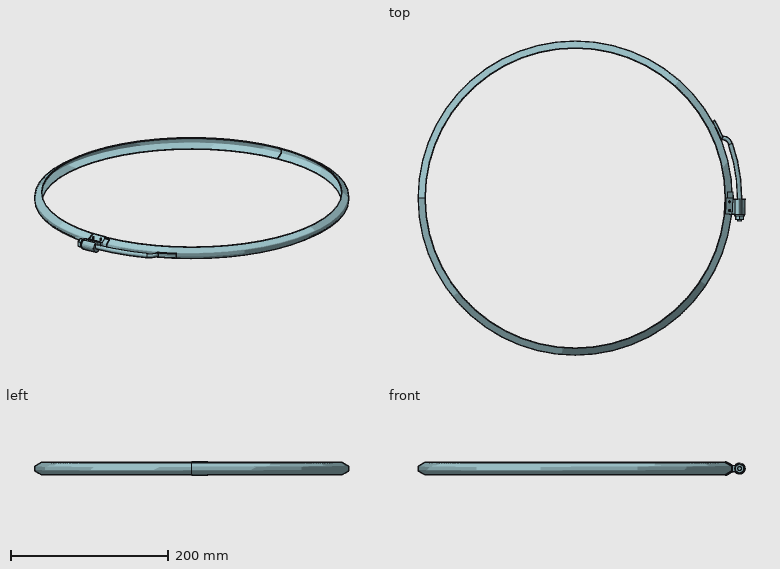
import cadquery as cq
import math


band_radius = 200.0
flange_lip_radius = 191.5
web_half_height = 3.0
band_half_height = 8.15
band_thickness = 1.3
band_inner_bend = 0.5
band_outer_bend = band_inner_bend + band_thickness
flange_run = band_radius - flange_lip_radius
flange_rise = band_half_height - web_half_height
flange_angle = math.atan2(flange_rise, flange_run)

saddle_thickness = 1.13
saddle_lip_radius = 192.3
tongue_lip_radius = 194.0
saddle_length = 21.0
tongue_length = 8.0
saddle_sweep = math.degrees(saddle_length / band_radius)
tongue_sweep = math.degrees(tongue_length / band_radius)

weld_hole_diameter = 2.0
weld_hole_x = 196.5
weld_hole_places = (-4.5, -16.0)

bolt_radius = 209.5
barrel_diameter = 14.0
barrel_start = -1.3
neck_half_height = 4.0
slot_width = 2.5
slot_x = 211.0
stop_tab_reach = 217.0
stop_tab_size = 1.0

rod_diameter = 6.0
thread_diameter = 5.0
bolt_end = -29.0
bolt_sweep = 19.2
tab_start_angle = 22.3
tab_end_angle = 29.2
tab_thickness = 3.5
tab_radius = band_radius + tab_thickness / 2
tab_half_height = 2.5

nut_flange_diameter = 12.5
nut_flange_thickness = 1.5
nut_length = 6.5
nut_across_corners = 11.5

big = 834.0


def web_change(thickness):
    """Change of the web half height between the two sides of a sheet of this thickness."""
    return thickness * (1 / math.cos(flange_angle) - math.tan(flange_angle))


def ring_core(radius):
    """Solid cylinder about the ring axis, taller than the clamp."""
    return cq.Workplane("XY").circle(radius).extrude(big, both=True)


def channel(outer_radius, outer_web_half, lip_radius, thickness, inner_bend, sweep):
    """V channel about Z that starts at +X and turns through `sweep` degrees toward +Y."""
    slope = math.tan(flange_angle)
    inner_radius = outer_radius - thickness
    inner_web_half = outer_web_half - web_change(thickness)
    lip_z = outer_web_half + (outer_radius - lip_radius) * slope
    inner_lip_radius = lip_radius - thickness * math.sin(flange_angle)
    inner_lip_z = lip_z - thickness * math.cos(flange_angle)
    outline = [
        (outer_radius, outer_web_half),
        (lip_radius, lip_z),
        (inner_lip_radius, inner_lip_z),
        (inner_radius, inner_web_half),
    ]
    mirrored = [(r, -z) for r, z in reversed(outline)]
    bends = (
        (outer_radius, outer_web_half, inner_bend + thickness),
        (inner_radius, inner_web_half, inner_bend),
    )
    profile = cq.Sketch().polygon(outline + mirrored + outline[:1])
    for corner_radius, corner_z, bend in bends:
        for z in (corner_z, -corner_z):
            profile = (
                profile.reset().vertices(cq.NearestToPointSelector((corner_radius, z, 0)))
                .fillet(bend).reset()
            )
    return cq.Workplane("XZ").placeSketch(profile).revolve(sweep, (0, 0), (0, 1))


def weld_holes():
    return (
        cq.Workplane("XY")
        .pushPoints([(weld_hole_x, y) for y in weld_hole_places])
        .circle(weld_hole_diameter / 2).extrude(big, both=True)
    )


def y_cylinder(diameter, y_top, y_bottom):
    """Cylinder on the straight bolt line, from y_top down to y_bottom."""
    return (
        cq.Workplane("XZ", origin=(bolt_radius, y_top, 0))
        .circle(diameter / 2).extrude(y_top - y_bottom)
    )


def make_band_half(start_angle):
    return (
        channel(band_radius, web_half_height, flange_lip_radius, band_thickness, band_inner_bend, 180)
        .rotate((0, 0, 0), (0, 0, 1), start_angle)
        .cut(weld_holes())
    )


def make_saddle():
    outer_radius = band_radius + saddle_thickness
    web_half = web_half_height + web_change(saddle_thickness)
    plate = (
        channel(outer_radius, web_half, saddle_lip_radius, saddle_thickness, band_outer_bend,
                saddle_sweep + tongue_sweep)
        .rotate((0, 0, 0), (0, 0, 1), -saddle_sweep)
    )
    lip_trim = (
        ring_core(tongue_lip_radius)
        .intersect(cq.Workplane("XY").box(big, big, big, centered=(True, False, True)))
    )
    length = barrel_start + saddle_length
    neck = (
        cq.Workplane("XY")
        .box(bolt_radius, length, 2 * neck_half_height, centered=(False, True, True))
        .translate((0, barrel_start - length / 2, 0))
        .cut(ring_core(band_radius + saddle_thickness / 2))
    )
    barrel = y_cylinder(barrel_diameter, barrel_start, -saddle_length)
    stop_tab = (
        cq.Workplane("XY")
        .box(stop_tab_reach - bolt_radius, stop_tab_size, stop_tab_size, centered=(False, True, True))
        .translate((bolt_radius, barrel_start - stop_tab_size / 2, 0))
    )
    bore = y_cylinder(rod_diameter, barrel_start, -saddle_length)
    slot = (
        cq.Workplane("XY")
        .box(slot_width, length, barrel_diameter, centered=(True, True, False))
        .translate((slot_x, barrel_start - length / 2, 0))
    )
    saddle_body = plate.cut(lip_trim).union(neck).union(barrel).union(stop_tab)
    return saddle_body.cut(weld_holes()).cut(bore).cut(slot)


def on_circle(radius, angle):
    return (radius * math.cos(math.radians(angle)), radius * math.sin(math.radians(angle)))


def make_bolt():
    thread = y_cylinder(thread_diameter, 0, bolt_end)
    shank = y_cylinder(rod_diameter, 0, -saddle_length)
    rod = (
        cq.Workplane("XZ").center(bolt_radius, 0).circle(rod_diameter / 2)
        .revolve(bolt_sweep, (-bolt_radius, 0), (-bolt_radius, 1))
    )
    start = on_circle(bolt_radius, bolt_sweep)
    end = on_circle(tab_radius, tab_start_angle)
    rod_direction = on_circle(1, bolt_sweep + 90)
    path = cq.Workplane("XY").spline([start, end], tangents=[rod_direction, (-1, 0)])
    bend = (
        cq.Workplane(cq.Plane(origin=(*start, 0), xDir=(0, 0, 1), normal=(*rod_direction, 0)))
        .circle(thread_diameter / 2).sweep(path)
        .cut(ring_core(band_radius))
    )
    tab = (
        cq.Workplane("XZ").center(tab_radius, 0)
        .rect(tab_thickness, 2 * tab_half_height)
        .revolve(tab_end_angle - tab_start_angle, (-tab_radius, 0), (-tab_radius, 1))
        .rotate((0, 0, 0), (0, 0, 1), tab_start_angle)
    )
    return thread.union(shank).union(rod).union(bend).union(tab)


def make_nut():
    flange = y_cylinder(nut_flange_diameter, -saddle_length, -saddle_length - nut_flange_thickness)
    hexagon = (
        cq.Workplane("XZ", origin=(bolt_radius, -saddle_length, 0))
        .polygon(6, nut_across_corners).extrude(nut_length)
        .rotate((bolt_radius, 0, 0), (bolt_radius, 1, 0), 30)
    )
    return flange.union(hexagon).cut(y_cylinder(thread_diameter, 0, bolt_end))


band_halves = [make_band_half(start_angle) for start_angle in (0, 180)]
saddle = make_saddle()
bolt = make_bolt()
nut = make_nut()
result = cq.Compound.makeCompound(
    [half.solids().val() for half in band_halves] + [part.solids().val() for part in (saddle, bolt, nut)]
)